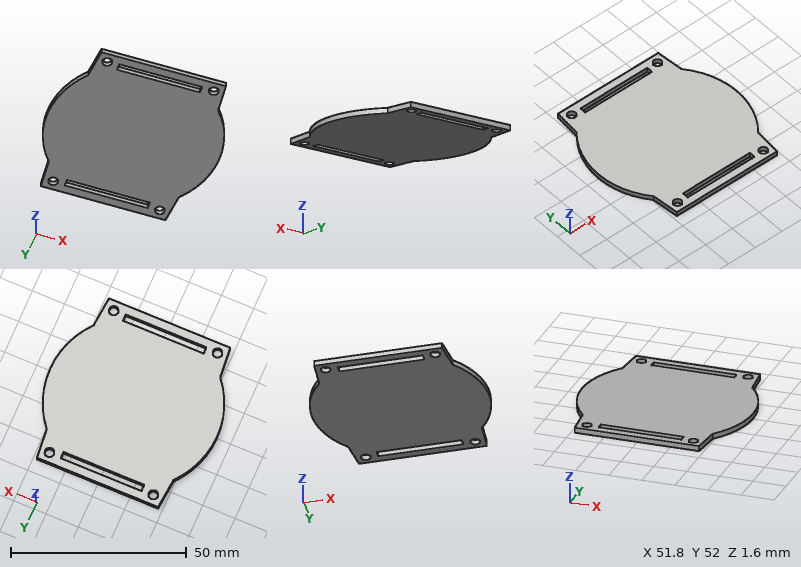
import cadquery as cq
import math

length = 52.05
thickness = 1.6
disc_diameter = 51.75

tab_end_width = 37.55
tab_root_width = 39.25

hole_diameter = 2.75
hole_spacing_x = 32.15
hole_spacing_y = 46.3

slot_length = 25.0
slot_width = 2.05
slot_spacing = 44.9


def plate():
    """Disc outline interrupted by a tapered tab at each end."""
    radius = disc_diameter / 2
    end_x = tab_end_width / 2
    end_y = length / 2
    root_x = tab_root_width / 2
    root_y = math.sqrt(radius**2 - root_x**2)
    return (
        cq.Workplane("XY")
        .moveTo(-end_x, -end_y)
        .lineTo(end_x, -end_y)
        .lineTo(root_x, -root_y)
        .threePointArc((radius, 0), (root_x, root_y))
        .lineTo(end_x, end_y)
        .lineTo(-end_x, end_y)
        .lineTo(-root_x, root_y)
        .threePointArc((-radius, 0), (-root_x, -root_y))
        .close()
        .extrude(thickness)
    )


def corner_holes():
    return (
        cq.Workplane("XY")
        .rarray(hole_spacing_x, hole_spacing_y, 2, 2)
        .circle(hole_diameter / 2)
        .extrude(thickness)
    )


def strap_slots():
    return (
        cq.Workplane("XY")
        .rarray(0.5, slot_spacing, 1, 2)
        .rect(slot_length, slot_width)
        .extrude(thickness)
    )


result = plate().cut(corner_holes()).cut(strap_slots())